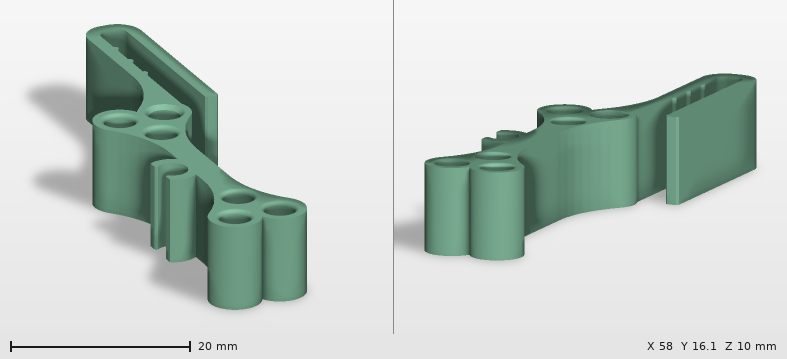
import cadquery as cq
import math

height = 10.0

hole_diameter = 3.5
hole_rim = 0.5
boss_radius = 3.05
boss_x = 15.0
boss_y = 2.75
inner_hole_x = 10.0

wall = 1.6
bar_half_width = wall
blend_radius = 12.5

hook_left_x = -40.0
hook_end_x = -16.8
hook_slot = 3.2
hook_top_y = 10.29
hook_top_radius = 2.9
hook_bottom_radius = 2.7
hook_inner_radius = 1.1
hook_tip_chamfer = 0.25
hook_width = hook_slot + 2 * wall
arm_bottom_y = hook_top_y - hook_width
arm_top_y = arm_bottom_y + wall

ridge_radius = 0.4
ridge_count = 3
ridge_first_x = -33.65
ridge_pitch = 3.8

clip_outer_radius = 2.95
clip_bore_radius = 1.75
clip_center_y = -bar_half_width - clip_bore_radius
clip_depth = 1.5
clip_bottom_y = clip_center_y - clip_depth
clip_mouth_half_width = 1.3
clip_lip_chamfer = 0.15

blend_reach = blend_radius + boss_radius
boss_share = boss_radius / blend_reach


def blend_offset(edge_to_boss):
    """X distance between boss and blend centres.

    edge_to_boss is the Y distance from the flat edge to the boss centre,
    measured toward the blend centre.
    """
    return math.sqrt(blend_reach**2 - (blend_radius - edge_to_boss) ** 2)


def arc_point(center_x, center_y, radius, angle):
    return (center_x + radius * math.cos(angle), center_y + radius * math.sin(angle))


def extrude(sketch):
    return sketch.extrude(height)


def cylinder(x, y, radius):
    return cq.Workplane("XY").center(x, y).circle(radius).extrude(height)


def make_bar():
    """Bar whose four corners flare out in arcs to the boss tangent points."""
    offset = blend_offset(boss_y - bar_half_width)
    flat_x = boss_x - offset
    center_y = bar_half_width + blend_radius
    tangent_x = boss_x - offset * boss_share
    tangent_y = boss_y + (center_y - boss_y) * boss_share
    end_angle = math.atan2(tangent_y - center_y, tangent_x - flat_x)
    mid_x, mid_y = arc_point(flat_x, center_y, blend_radius, (end_angle - math.pi / 2) / 2)
    return extrude(
        cq.Workplane("XY")
        .moveTo(-flat_x, bar_half_width)
        .lineTo(flat_x, bar_half_width)
        .threePointArc((mid_x, mid_y), (tangent_x, tangent_y))
        .lineTo(boss_x, boss_y)
        .lineTo(boss_x, -boss_y)
        .lineTo(tangent_x, -tangent_y)
        .threePointArc((mid_x, -mid_y), (flat_x, -bar_half_width))
        .lineTo(-flat_x, -bar_half_width)
        .threePointArc((-mid_x, -mid_y), (-tangent_x, -tangent_y))
        .lineTo(-boss_x, -boss_y)
        .lineTo(-boss_x, boss_y)
        .lineTo(-tangent_x, tangent_y)
        .threePointArc((-mid_x, mid_y), (-flat_x, bar_half_width))
        .close()
    )


def make_arm_root():
    """Lower hook arm thickening in an arc onto the upper left boss."""
    offset = blend_offset(arm_bottom_y - boss_y)
    flat_x = -boss_x - offset
    center_y = arm_bottom_y - blend_radius
    tangent_x = -boss_x - offset * boss_share
    tangent_y = boss_y - (boss_y - center_y) * boss_share
    end_angle = math.atan2(tangent_y - center_y, tangent_x - flat_x)
    middle = arc_point(flat_x, center_y, blend_radius, (end_angle + math.pi / 2) / 2)
    return extrude(
        cq.Workplane("XY")
        .moveTo(flat_x, arm_bottom_y)
        .threePointArc(middle, (tangent_x, tangent_y))
        .lineTo(-boss_x, boss_y)
        .lineTo(-boss_x, arm_top_y)
        .lineTo(flat_x, arm_top_y)
        .close()
    )


def block(x_min, x_max, y_min, y_max):
    """Full-height rectangular block given by its X and Y limits."""
    solid = cq.Workplane("XY").box(x_max - x_min, y_max - y_min, height, centered=False)
    return solid.translate((x_min, y_min, 0))


def make_hook():
    """Folded arm with a rounded heel, a chamfered free tip and grip ridges in its slot."""
    arm_root_x = -boss_x - blend_offset(arm_bottom_y - boss_y)
    outer = block(hook_left_x, hook_end_x, arm_bottom_y, hook_top_y)
    outer = outer.edges("|Z and <X and >Y").fillet(hook_top_radius)
    outer = outer.edges("|Z and <X and <Y").fillet(hook_bottom_radius)
    slot = block(hook_left_x + wall, hook_end_x, arm_top_y, arm_top_y + hook_slot)
    slot = slot.edges("|Z and <X").fillet(hook_inner_radius)
    hook = outer.cut(slot)
    lower_arm_limit = block(arm_root_x, hook_end_x, arm_bottom_y, arm_top_y)
    hook = hook.cut(lower_arm_limit)
    hook = hook.edges("|Z and >X").chamfer(hook_tip_chamfer)
    hook = hook.union(make_arm_root())
    for index in range(ridge_count):
        ridge_x = ridge_first_x + index * ridge_pitch
        hook = hook.union(cylinder(ridge_x, arm_top_y, ridge_radius))
    return hook


def make_clip():
    """Ring with a flat-cut underside, overlapping the bar at its top."""
    clip = cylinder(0, clip_center_y, clip_outer_radius)
    return clip.intersect(block(-clip_outer_radius, clip_outer_radius, clip_bottom_y, 0))


def cut_clip_bore(body):
    """Pin bore plus its mouth, which flares at the lips."""
    flare_half_width = clip_mouth_half_width + clip_lip_chamfer
    flare_y = clip_bottom_y + clip_lip_chamfer
    mouth = extrude(
        cq.Workplane("XY")
        .moveTo(-clip_mouth_half_width, clip_center_y)
        .lineTo(-clip_mouth_half_width, flare_y)
        .lineTo(-flare_half_width, clip_bottom_y)
        .lineTo(flare_half_width, clip_bottom_y)
        .lineTo(clip_mouth_half_width, flare_y)
        .lineTo(clip_mouth_half_width, clip_center_y)
        .close()
    )
    return body.cut(cylinder(0, clip_center_y, clip_bore_radius)).cut(mouth)


def make_hole_cutter(x, y, is_rounded):
    """Through hole whose top rim is either rounded or chamfered."""
    hole_radius = hole_diameter / 2
    rim_radius = hole_radius + hole_rim
    rim_bottom_z = height - hole_rim
    profile = cq.Workplane("XZ").lineTo(hole_radius, 0).lineTo(hole_radius, rim_bottom_z)
    if is_rounded:
        middle = arc_point(rim_radius, rim_bottom_z, hole_rim, math.radians(135))
        profile = profile.threePointArc(middle, (rim_radius, height))
    else:
        profile = profile.lineTo(rim_radius, height)
    cutter = profile.lineTo(0, height).close().revolve(360, (0, 0, 0), (0, 1, 0))
    return cutter.translate((x, y, 0))


def cut_holes(body):
    """All rims are rounded except the one beside the hook arm, which is chamfered."""
    for side in (-1, 1):
        for x, y in ((boss_x, boss_y), (boss_x, -boss_y), (inner_hole_x, 0)):
            is_beside_arm = side < 0 and y > 0
            body = body.cut(make_hole_cutter(side * x, y, not is_beside_arm))
    return body


result = make_bar()
for side in (-1, 1):
    for end in (-1, 1):
        result = result.union(cylinder(side * boss_x, end * boss_y, boss_radius))
result = result.union(make_hook()).union(make_clip())
result = cut_holes(cut_clip_bore(result))